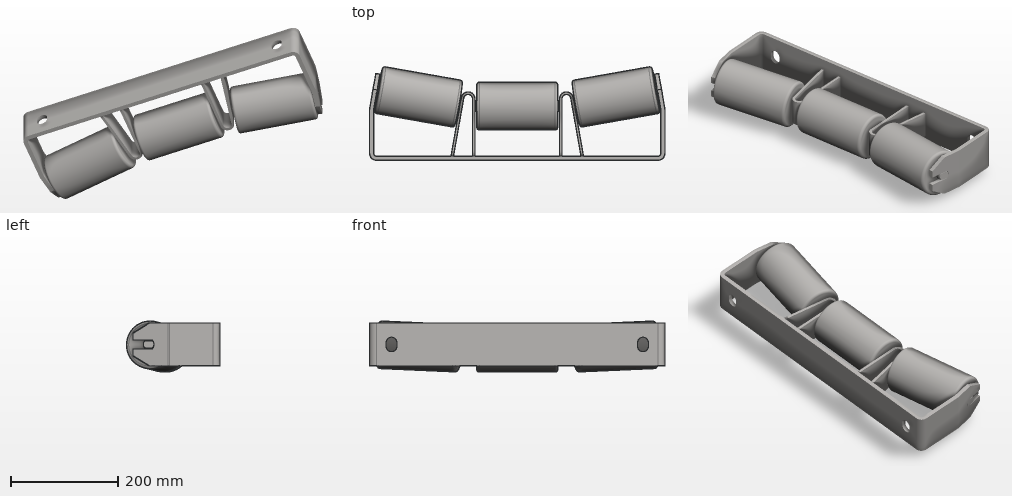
import cadquery as cq
import math

frame_width = 550.0
frame_height = 80.0
plate_thickness = 8.0
corner_inner_radius = 5.0
lean_angle = 10.0
lean_start = 95.5
lean_bend_radius = 12.0
arm_tip = 162.0
tip_chamfer_length = 30.0
tip_chamfer_height = 18.5

mount_spacing = 468.0
mount_width = 20.0
mount_length = 27.0

arm_slot_width = 16.0
arm_seat_clearance = 0.4

hairpin_thickness = 5.0
hairpin_height = 50.0
hairpin_outer_radius = 13.0
hairpin_bend_y = 114.5
roller_gap = 3.0

roller_diameter = 89.0
roller_length = 151.0
roller_fillet = 5.0
shaft_diameter = 20.0
shaft_flats = 14.0
shoulder_clearance = 0.5
middle_axis_y = 101.0
middle_axis_z = 33.0
outer_tilt = 2.5
outer_axis_y = 133.05
outer_axis_z = 40.0

lean = math.radians(lean_angle)
half_width = frame_width / 2
half_height = frame_height / 2
half_roller = roller_length / 2
hairpin_bend_x = -(half_roller + roller_gap + hairpin_outer_radius)
hairpin_inner_radius = hairpin_outer_radius - hairpin_thickness
hairpin_bottom = middle_axis_z - hairpin_height / 2

outward = (-math.cos(lean), math.sin(lean))
arm_outer_face = (
    (-half_width - hairpin_bend_x) * outward[0]
    + (lean_start - hairpin_bend_y) * outward[1]
)
arm_inner_face = arm_outer_face - plate_thickness
outer_gap = (arm_inner_face - hairpin_outer_radius - roller_length) / 2

outer_axis_x = -half_width + (outer_axis_y - lean_start) * math.tan(lean)


def mirrored(body):
    return body.mirror("YZ")


def leaning_plane(x, y, z):
    """Plane on the outside of the -X arm: local x runs to the arm tip, local y down, normal outward."""
    return cq.Plane(
        origin=(x, y, z),
        xDir=(math.sin(lean), math.cos(lean), 0),
        normal=(outward[0], outward[1], 0),
    )


def make_arm_strip():
    """Half of the bent strip, from the middle of the back plate to the -X arm tip."""
    tip_length = (arm_tip - lean_start) / math.cos(lean)
    along = (math.sin(lean), math.cos(lean))
    inset = plate_thickness * math.tan(lean / 2)
    inner_x = -half_width + plate_thickness
    outer_tip = (-half_width + tip_length * along[0], arm_tip)
    inner_tip = (
        outer_tip[0] - plate_thickness * outward[0],
        outer_tip[1] - plate_thickness * outward[1],
    )
    strip = (
        cq.Workplane("XY")
        .moveTo(0, 0)
        .lineTo(-half_width, 0)
        .lineTo(-half_width, lean_start)
        .lineTo(*outer_tip)
        .lineTo(*inner_tip)
        .lineTo(inner_x, lean_start - inset)
        .lineTo(inner_x, plate_thickness)
        .lineTo(0, plate_thickness)
        .close()
        .extrude(frame_height)
    )
    near = 0.1

    def edge_at(x, y):
        return cq.selectors.BoxSelector(
            (x - near, y - near, -near), (x + near, y + near, frame_height + near)
        )

    strip = strip.edges(edge_at(-half_width, 0)).fillet(corner_inner_radius + plate_thickness)
    strip = strip.edges(edge_at(inner_x, plate_thickness)).fillet(corner_inner_radius)
    strip = strip.edges(edge_at(-half_width, lean_start)).fillet(lean_bend_radius + plate_thickness)
    strip = strip.edges(edge_at(inner_x, lean_start - inset)).fillet(lean_bend_radius)

    for side in (-1, 1):
        corner = (
            cq.Workplane(leaning_plane(outer_tip[0], outer_tip[1], half_height))
            .polyline([
                (0, side * half_height),
                (-tip_chamfer_length, side * half_height),
                (0, side * (half_height - tip_chamfer_height)),
            ])
            .close()
            .extrude(-plate_thickness)
        )
        strip = strip.cut(corner)
    return strip


def make_arm_slot():
    """Slot open at the arm tip, its end rounded around the shaft."""
    half_slot = arm_slot_width / 2
    seat_radius = shaft_diameter / 2 + arm_seat_clearance
    seat_start = -math.sqrt(seat_radius ** 2 - half_slot ** 2)
    open_end = arm_tip - lean_start
    return (
        cq.Workplane(leaning_plane(outer_axis_x, outer_axis_y, half_height))
        .moveTo(open_end, half_slot)
        .lineTo(seat_start, half_slot)
        .threePointArc((-seat_radius, 0), (seat_start, -half_slot))
        .lineTo(open_end, -half_slot)
        .close()
        .extrude(-plate_thickness)
    )


def make_frame():
    half = make_arm_strip().cut(make_arm_slot())
    frame = half.union(mirrored(half))
    mount_slots = (
        cq.Workplane("XZ")
        .pushPoints([(-mount_spacing / 2, half_height), (mount_spacing / 2, half_height)])
        .slot2D(mount_length, mount_width, 90)
        .extrude(-plate_thickness)
    )
    return frame.cut(mount_slots)


def make_roller(gap_low, seat_low, gap_high, seat_high):
    """Roller on the X axis, centred on its own length; the shaft flats lie level.

    At each end the gap to the supporting face and the depth of the seat in it set the shaft length.
    """
    drum = (
        cq.Workplane("YZ", origin=(-half_roller, 0, 0))
        .circle(roller_diameter / 2)
        .extrude(roller_length)
        .edges("%CIRCLE")
        .fillet(roller_fillet)
    )
    low_tip = -(half_roller + gap_low + seat_low)
    high_tip = half_roller + gap_high + seat_high
    shaft = (
        cq.Workplane("YZ", origin=(low_tip, 0, 0))
        .circle(shaft_diameter / 2)
        .extrude(high_tip - low_tip)
    )
    flat_depth = (shaft_diameter - shaft_flats) / 2
    flat_height = (shaft_diameter + shaft_flats) / 4
    low_flat_length = seat_low + shoulder_clearance
    high_flat_length = seat_high + shoulder_clearance
    flat_places = (
        (low_flat_length, low_tip + low_flat_length / 2),
        (high_flat_length, high_tip - high_flat_length / 2),
    )
    for length, middle in flat_places:
        for side in (-1, 1):
            waste = cq.Workplane("XY").box(length, shaft_diameter, flat_depth)
            shaft = shaft.cut(waste.translate((middle, 0, side * flat_height)))
    return drum.union(shaft)


def make_middle_roller():
    roller = make_roller(roller_gap, hairpin_thickness, roller_gap, hairpin_thickness)
    return roller.translate((0, middle_axis_y, middle_axis_z))


def make_outer_roller():
    """Outer roller on the -X side, swung square to the arm and raised towards it."""
    roller = make_roller(outer_gap, plate_thickness, outer_gap, hairpin_thickness)
    shaft_tip = half_roller + outer_gap + plate_thickness
    return (
        roller.translate((shaft_tip, 0, 0))
        .rotate((0, 0, 0), (0, 1, 0), outer_tilt)
        .rotate((0, 0, 0), (0, 0, 1), -lean_angle)
        .translate((outer_axis_x, outer_axis_y, outer_axis_z))
    )


def make_hairpin(rollers):
    """Hairpin on the -X side: a straight leg, a fold and a leaning leg, with seats for the shaft ends."""

    def fold_point(radius, direction):
        return (hairpin_bend_x + radius * direction[0], hairpin_bend_y + radius * direction[1])

    def leaning_foot(radius):
        top = fold_point(radius, outward)
        return (top[0] - (top[1] - plate_thickness) * math.tan(lean), plate_thickness)

    crown = (math.sin(-lean / 2), math.cos(lean / 2))
    inward = (1, 0)
    hairpin = (
        cq.Workplane("XY", origin=(0, 0, hairpin_bottom))
        .moveTo(hairpin_bend_x + hairpin_outer_radius, plate_thickness)
        .lineTo(*fold_point(hairpin_outer_radius, inward))
        .threePointArc(fold_point(hairpin_outer_radius, crown), fold_point(hairpin_outer_radius, outward))
        .lineTo(*leaning_foot(hairpin_outer_radius))
        .lineTo(*leaning_foot(hairpin_inner_radius))
        .lineTo(*fold_point(hairpin_inner_radius, outward))
        .threePointArc(fold_point(hairpin_inner_radius, crown), fold_point(hairpin_inner_radius, inward))
        .lineTo(hairpin_bend_x + hairpin_inner_radius, plate_thickness)
        .close()
        .extrude(hairpin_height)
    )
    for roller in rollers:
        hairpin = hairpin.cut(roller)
    return hairpin


frame = make_frame()
middle_roller = make_middle_roller()
outer_roller = make_outer_roller()
hairpin = make_hairpin([middle_roller, outer_roller])

result = cq.Compound.makeCompound([
    frame.val(),
    middle_roller.val(),
    outer_roller.val(),
    mirrored(outer_roller).val(),
    hairpin.val(),
    mirrored(hairpin).val(),
])